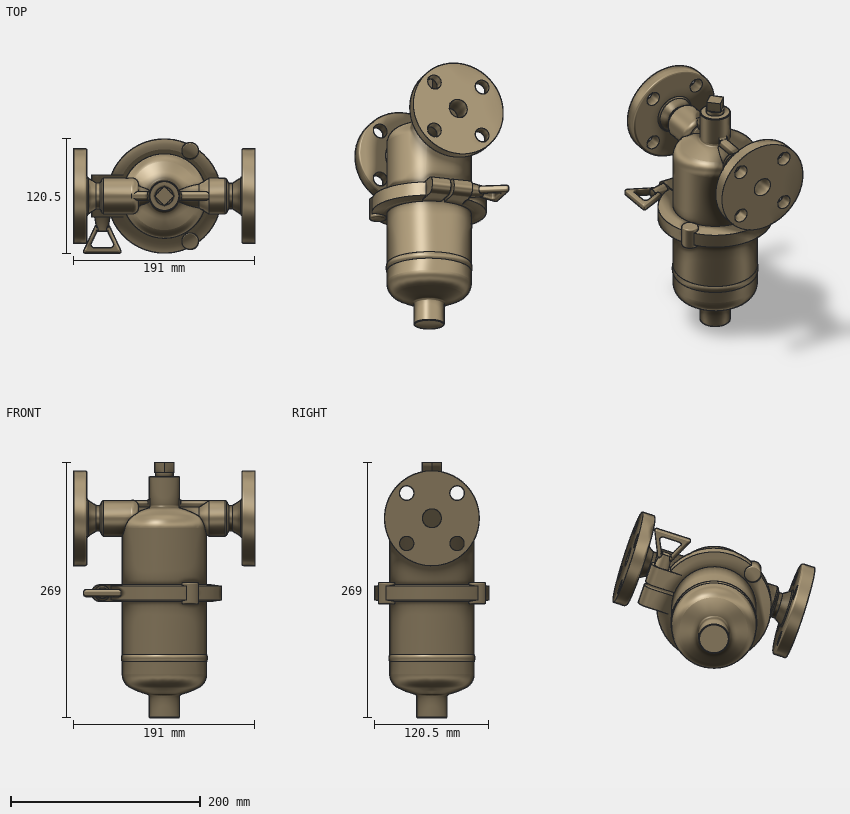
import cadquery as cq
import math

selection_margin = 0.3

total_height = 269.0
shell_radius = 89.0 / 2
stub_radius = 32.0 / 2
stub_chamfer = 0.8
stub_fillet = 2.7
crown_radius = 75.3
knuckle_radius = 16.1
upper_knuckle_z = 199.5
lower_knuckle_z = 46.0
upper_stub_top = 254.2

bead_bottom = 59.2
bead_top = 66.5
bead_height = 0.8

plug_shank_radius = 9.5
plug_head_bottom = 258.5
plug_head_diagonal = 20.7

pipe_z = 210.0
pipe_radius = 38.0 / 2
flange_span = 191.0
flange_radius = 100.0 / 2
flange_thickness = 14.0
flange_fillet = 2.2
bore_radius = 20.0 / 2
bore_depth = 31.7
bolt_hole_diameter = 15.0
bolt_circle_diameter = 75.0
bolt_count = 4
hub_root_radius = 20.7
hub_throat_radius = 27.2 / 2
hub_root_x = 80.2
hub_throat_outer_x = 71.8
hub_throat_inner_x = 67.8
pipe_shoulder_x = 65.6
pipe_shoulder_radius = 17.8
pipe_outer_x = 64.0
trunk_radius = 12.6
inlet_end_x = 27.5
inlet_trunk_fillet = 2.5
inlet_end_length = 7.3
inlet_round_x = inlet_end_x + inlet_end_length
outlet_cone_outer_x = 47.0
outlet_cone_inner_x = 36.5

rib_width = 9.7
rib_depth = 13.5
rib_fillet = 3.8
rib_neck_fillet = 2.0

clamp_z = 131.3
clamp_height = 17.8
clamp_rim_height = 14.5
clamp_radius = 120.5 / 2
clamp_flat_radius = 49.0
clamp_gap = 3.8
lug_x = -67.8
lug_width = 44.7
hinge_pin_x = 27.2
hinge_pin_y = 47.5
hinge_pin_radius = 9.0
hinge_pin_height = 22.9
hinge_pin_fillet = 1.5

handle_x = -65.5
stem_start_radius = 8.0
stem_end_radius = 5.6
stem_end_y = -37.0
handle_thickness = 8.0
handle_end_y = -clamp_radius
handle_start_y = -31.0
handle_start_half_width = 7.3
handle_end_half_width = 21.0
handle_window_start_half_width = 5.5
handle_window_end_half_width = 13.7
handle_bar_width = 6.0
handle_corner_radius = 2.0
handle_window_corner_radius = 3.2
handle_edge_fillet = 3.0
handle_window_edge_fillet = 1.0


def dome_points(knuckle_z, direction):
    """Return knuckle middle, knuckle end, crown middle and crown end, as (radius, z), of a domed end.

    direction is +1 for a dome rising from knuckle_z and -1 for one hanging below it.
    The crown stops at the stub radius.
    """
    knuckle_centre_radius = shell_radius - knuckle_radius
    tangent_angle = math.asin(knuckle_centre_radius / (crown_radius - knuckle_radius))
    crown_drop = (crown_radius - knuckle_radius) * math.cos(tangent_angle)
    stub_angle = math.asin(stub_radius / crown_radius)

    def knuckle_point(angle):
        radius = knuckle_centre_radius + knuckle_radius * math.sin(angle)
        return radius, knuckle_z + direction * knuckle_radius * math.cos(angle)

    def crown_point(angle):
        height = crown_radius * math.cos(angle) - crown_drop
        return crown_radius * math.sin(angle), knuckle_z + direction * height

    return (
        knuckle_point((tangent_angle + math.pi / 2) / 2),
        knuckle_point(tangent_angle),
        crown_point((tangent_angle + stub_angle) / 2),
        crown_point(stub_angle),
    )


def make_vessel():
    low_knuckle_mid, low_knuckle_end, low_crown_mid, low_crown_end = dome_points(lower_knuckle_z, -1)
    top_knuckle_mid, top_knuckle_end, top_crown_mid, top_crown_end = dome_points(upper_knuckle_z, 1)
    bead_middle = (shell_radius + bead_height, (bead_bottom + bead_top) / 2)
    vessel = (
        cq.Workplane("XZ")
        .moveTo(0, 0)
        .lineTo(stub_radius, 0)
        .lineTo(*low_crown_end)
        .threePointArc(low_crown_mid, low_knuckle_end)
        .threePointArc(low_knuckle_mid, (shell_radius, lower_knuckle_z))
        .lineTo(shell_radius, bead_bottom)
        .threePointArc(bead_middle, (shell_radius, bead_top))
        .lineTo(shell_radius, upper_knuckle_z)
        .threePointArc(top_knuckle_mid, top_knuckle_end)
        .threePointArc(top_crown_mid, top_crown_end)
        .lineTo(stub_radius, upper_stub_top)
        .lineTo(0, upper_stub_top)
        .close()
        .revolve(360, (0, 0, 0), (0, 1, 0))
    )
    vessel = vessel.faces("<Z or >Z").edges().chamfer(stub_chamfer)
    for _, crown_end_z in (low_crown_end, top_crown_end):
        seam = cq.selectors.BoxSelector(
            (-shell_radius, -shell_radius, crown_end_z - selection_margin),
            (shell_radius, shell_radius, crown_end_z + selection_margin),
            boundingbox=True,
        )
        vessel = vessel.edges(seam).fillet(stub_fillet)
    return vessel


def make_plug():
    shank = (
        cq.Workplane("XY", origin=(0, 0, upper_stub_top))
        .circle(plug_shank_radius)
        .extrude(plug_head_bottom - upper_stub_top)
    )
    head = (
        cq.Workplane("XY", origin=(0, 0, plug_head_bottom))
        .polygon(4, plug_head_diagonal)
        .extrude(total_height - plug_head_bottom)
    )
    return shank.union(head)


def make_pipe(side):
    """Flange, hub, pipe and trunk on one side; side is -1 for the inlet and +1 for the outlet."""
    face_x = flange_span / 2
    flange_back_x = face_x - flange_thickness
    profile = (
        cq.Workplane("XY", origin=(0, 0, pipe_z))
        .moveTo(0, 0)
        .lineTo(side * face_x, 0)
        .lineTo(side * face_x, flange_radius)
        .lineTo(side * (flange_back_x + flange_fillet), flange_radius)
        .radiusArc((side * flange_back_x, flange_radius - flange_fillet), -side * flange_fillet)
        .lineTo(side * flange_back_x, hub_root_radius)
        .lineTo(side * hub_root_x, pipe_radius)
        .lineTo(side * hub_throat_outer_x, hub_throat_radius)
        .lineTo(side * hub_throat_inner_x, hub_throat_radius)
        .lineTo(side * pipe_shoulder_x, pipe_shoulder_radius)
        .lineTo(side * pipe_outer_x, pipe_radius)
    )
    if side < 0:
        fillet_top = trunk_radius + inlet_trunk_fillet
        end_round = pipe_radius - fillet_top
        profile = profile.lineTo(-inlet_round_x, pipe_radius)
        profile = profile.threePointArc(
            (
                -inlet_round_x + inlet_end_length * math.sin(math.pi / 4),
                fillet_top + end_round * math.sin(math.pi / 4),
            ),
            (-inlet_end_x, fillet_top),
        )
        profile = profile.radiusArc((-inlet_end_x + inlet_trunk_fillet, trunk_radius), -inlet_trunk_fillet)
    else:
        profile = profile.lineTo(outlet_cone_outer_x, pipe_radius)
        profile = profile.lineTo(outlet_cone_inner_x, trunk_radius)
    pipe = profile.lineTo(0, trunk_radius).close().revolve(360, (0, 0, 0), (1, 0, 0))

    face = cq.Workplane("YZ", origin=(side * face_x, 0, pipe_z))
    bolt_holes = (
        face.polarArray(bolt_circle_diameter / 2, 45, 360, bolt_count)
        .circle(bolt_hole_diameter / 2)
        .extrude(-side * flange_thickness)
    )
    bore = face.circle(bore_radius).extrude(-side * bore_depth)
    return pipe.cut(bolt_holes).cut(bore)


def make_rib():
    rib_top = pipe_z + pipe_radius
    rib_length = inlet_round_x + outlet_cone_outer_x
    return (
        cq.Workplane("XY")
        .box(rib_length, rib_width, rib_depth, centered=(False, True, False))
        .edges("|X and >Z")
        .fillet(rib_fillet)
        .translate((-inlet_round_x, 0, rib_top - rib_depth))
    )


def make_rib_collar():
    """Fillets where the rib runs into the top neck: a flared ring trimmed to the rib width."""
    rib_top = pipe_z + pipe_radius
    foot_radius = stub_radius + rib_neck_fillet
    ring = (
        cq.Workplane("XZ")
        .moveTo(0, rib_top - rib_depth)
        .lineTo(foot_radius, rib_top - rib_depth)
        .lineTo(foot_radius, rib_top)
        .radiusArc((stub_radius, rib_top + rib_neck_fillet), rib_neck_fillet)
        .lineTo(0, rib_top + rib_neck_fillet)
        .close()
        .revolve(360, (0, 0, 0), (0, 1, 0))
    )
    trim = cq.Workplane("XY", origin=(0, 0, rib_top)).box(2 * foot_radius, rib_width, 2 * rib_depth)
    return ring.intersect(trim)


def make_clamp():
    half_height = clamp_height / 2
    half_rim = clamp_rim_height / 2
    ring = (
        cq.Workplane("XZ", origin=(0, 0, clamp_z))
        .polyline([
            (0, -half_height),
            (clamp_flat_radius, -half_height),
            (clamp_radius, -half_rim),
            (clamp_radius, half_rim),
            (clamp_flat_radius, half_height),
            (0, half_height),
        ])
        .close()
        .revolve(360, (0, 0, 0), (0, 1, 0))
    )
    lug = (
        cq.Workplane("XZ", origin=(0, lug_width / 2, clamp_z))
        .moveTo(0, -half_height)
        .lineTo(lug_x, -half_height)
        .threePointArc((lug_x - half_height, 0), (lug_x, half_height))
        .lineTo(0, half_height)
        .close()
        .extrude(lug_width)
    )
    gap_length = -lug_x + half_height
    gap = (
        cq.Workplane("XY", origin=(-gap_length, 0, clamp_z))
        .box(gap_length, clamp_gap, clamp_height, centered=(False, True, True))
    )
    clamp = ring.union(lug).cut(gap)
    for side in (-1, 1):
        pin = (
            cq.Workplane("XY", origin=(hinge_pin_x, side * hinge_pin_y, clamp_z - hinge_pin_height / 2))
            .circle(hinge_pin_radius)
            .extrude(hinge_pin_height)
            .edges()
            .fillet(hinge_pin_fillet)
        )
        clamp = clamp.union(pin)
    return clamp


def trapezoid_prism(start_y, start_half_width, end_y, end_half_width):
    """Prism of the handle thickness, centred on z = 0, symmetric about x = 0."""
    return (
        cq.Workplane("XY", origin=(0, 0, -handle_thickness / 2))
        .polyline([
            (-start_half_width, start_y),
            (start_half_width, start_y),
            (end_half_width, end_y),
            (-end_half_width, end_y),
        ])
        .close()
        .extrude(handle_thickness)
    )


def make_handle():
    window_end_y = handle_end_y + handle_bar_width
    frame = trapezoid_prism(
        handle_start_y, handle_start_half_width, handle_end_y, handle_end_half_width
    )
    frame = frame.edges("|Z and <Y").fillet(handle_corner_radius)
    frame = frame.faces("<Z or >Z").edges().fillet(handle_edge_fillet)
    window = trapezoid_prism(
        stem_end_y, handle_window_start_half_width, window_end_y, handle_window_end_half_width
    )
    window = window.edges("|Z and <Y").fillet(handle_window_corner_radius)
    stem_start_y = -lug_width / 2
    stem = cq.Workplane("XY").add(
        cq.Solid.makeCone(
            stem_start_radius,
            stem_end_radius,
            stem_start_y - stem_end_y,
            pnt=cq.Vector(0, stem_start_y, 0),
            dir=cq.Vector(0, -1, 0),
        )
    )
    frame = frame.cut(window)
    window_rim = cq.selectors.BoxSelector(
        (-handle_window_end_half_width, window_end_y - selection_margin, -handle_thickness),
        (handle_window_end_half_width, stem_end_y + selection_margin, handle_thickness),
        boundingbox=True,
    )
    frame = frame.faces("<Z or >Z").edges(window_rim).fillet(handle_window_edge_fillet)
    return frame.union(stem).translate((handle_x, 0, clamp_z))


result = (
    make_clamp()
    .union(make_vessel())
    .union(make_plug())
    .union(make_pipe(-1))
    .union(make_pipe(1))
    .union(make_rib())
    .union(make_rib_collar())
    .union(make_handle())
)